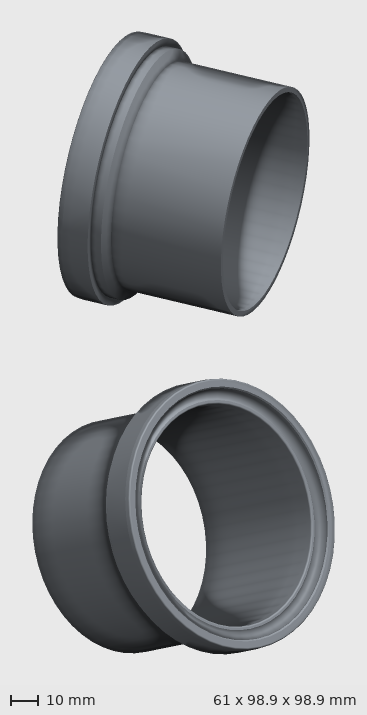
import cadquery as cq
import math

total_length = 61.0
rim_taper_end = 2.0
flange_end = 12.0
shoulder_end = 16.0

bore_radius = 81.0 / 2
tube_radius = 85.0 / 2
shoulder_radius = 93.0 / 2
flange_radius = 98.9 / 2

rim_taper = 0.15
rim_radius = flange_radius - rim_taper
rim_round_size = 0.6

shoulder_cone_angle = 30.0
cone_length = (shoulder_radius - tube_radius) * math.tan(math.radians(shoulder_cone_angle))
cone_end = shoulder_end + cone_length

seat_mouth_radius = 46.35
seat_mouth_bevel = 0.5
seat_outer_radius = seat_mouth_radius - seat_mouth_bevel
seat_inner_radius = 41.85
seat_curve_radius = 2.5

lip_depth = 3.0
lip_round_size = 0.6


def quarter_round_middle(center, size, x_sign, radius_sign):
    """Middle point of a quarter round about the given center."""
    offset = size * math.sqrt(0.5)
    return (center[0] + x_sign * offset, center[1] + radius_sign * offset)


def ring_profile():
    """Half section of the ring: X runs along the axis, Y is the radius."""
    lip_round_center = (lip_depth + lip_round_size, bore_radius + lip_round_size)
    rim_round_center = (rim_round_size, rim_radius - rim_round_size)
    return (
        cq.Workplane("XY")
        .moveTo(lip_depth + lip_round_size, bore_radius)
        .threePointArc(
            quarter_round_middle(lip_round_center, lip_round_size, -1, -1),
            (lip_depth, bore_radius + lip_round_size),
        )
        .lineTo(lip_depth, seat_inner_radius)
        .radiusArc((seat_mouth_bevel, seat_outer_radius), -seat_curve_radius)
        .lineTo(0, seat_mouth_radius)
        .lineTo(0, rim_radius - rim_round_size)
        .threePointArc(
            quarter_round_middle(rim_round_center, rim_round_size, -1, 1),
            (rim_round_size, rim_radius),
        )
        .lineTo(rim_taper_end, flange_radius)
        .lineTo(flange_end, flange_radius)
        .lineTo(flange_end, shoulder_radius)
        .lineTo(shoulder_end, shoulder_radius)
        .lineTo(cone_end, tube_radius)
        .lineTo(total_length, tube_radius)
        .lineTo(total_length, bore_radius)
        .close()
    )


result = ring_profile().revolve(360, (0, 0, 0), (1, 0, 0))